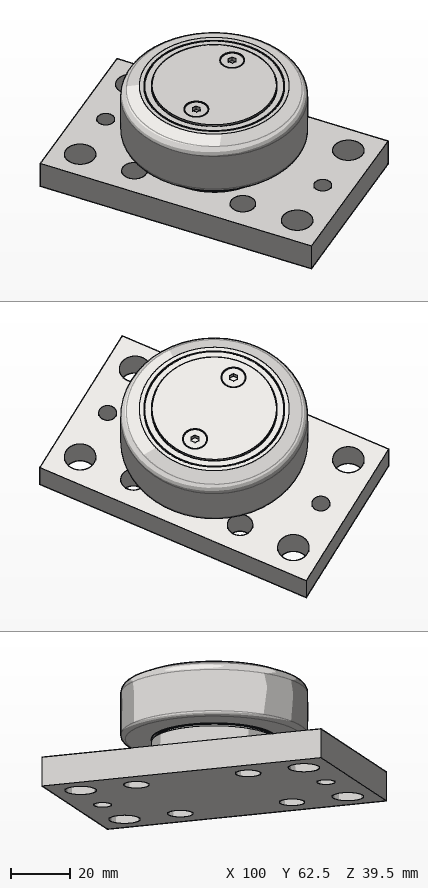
import cadquery as cq
import math

SIDES = (-1, 1)

plate_length = 100.0
plate_width = 60.0
plate_thickness = 10.0
corner_hole_diameter = 10.5
dowel_hole_diameter = 6.0
inner_hole_diameter = 8.5
outer_hole_x = 40.0
inner_hole_x = 20.0
hole_y = 20.0

neck_diameter = 42.0
neck_foot_diameter = 41.5
neck_foot_height = 0.25
neck_chamfer = 0.75
collar_diameter = 42.1
collar_bottom_z = 18.5

roller_diameter = 62.5
roller_bottom_z = 18.75
roller_top_z = 39.0
crown_drop = 0.05
top_flat_diameter = 50.0
top_cone_angle = math.radians(22.0)
top_round_radius = 3.0
bottom_round_radius = 1.5

total_height = 39.5
disc_diameter = 41.5
disc_bore_diameter = 42.0
ring_diameter = 46.4
ring_bore_diameter = 47.0
groove_depth = 0.5

screw_y = 14.0
screw_head_diameter = 7.8
screw_recess_diameter = 8.3
hex_across_corners = 3.0
hex_depth = 1.5


def through_holes(diameter, points):
    """Cylinders as long as the plate is thick, one at each point."""
    return cq.Workplane("XY").pushPoints(points).circle(diameter / 2).extrude(plate_thickness)


def ring_gap(outer_diameter, inner_diameter):
    """Thin annular gap sunk into the top face of the roller."""
    return (
        cq.Workplane("XY", origin=(0, 0, roller_top_z - groove_depth))
        .circle(outer_diameter / 2)
        .circle(inner_diameter / 2)
        .extrude(groove_depth)
    )


def make_plate():
    """Base plate with corner, inner and dowel holes."""
    plate = cq.Workplane("XY").box(plate_length, plate_width, plate_thickness, centered=(True, True, False))
    corner_points = [(i * outer_hole_x, j * hole_y) for i in SIDES for j in SIDES]
    inner_points = [(i * inner_hole_x, j * hole_y) for i in SIDES for j in SIDES]
    dowel_points = [(i * outer_hole_x, 0) for i in SIDES]
    plate = plate.cut(through_holes(corner_hole_diameter, corner_points))
    plate = plate.cut(through_holes(inner_hole_diameter, inner_points))
    return plate.cut(through_holes(dowel_hole_diameter, dowel_points))


def make_neck():
    """Neck with a stepped foot and a chamfered shoulder, under a thin collar of the roller."""
    foot_top_z = plate_thickness + neck_foot_height
    neck_top_radius = neck_diameter / 2 - neck_chamfer
    profile = [
        (0, plate_thickness),
        (neck_foot_diameter / 2, plate_thickness),
        (neck_foot_diameter / 2, foot_top_z),
        (neck_diameter / 2, foot_top_z),
        (neck_diameter / 2, collar_bottom_z - neck_chamfer),
        (neck_top_radius, collar_bottom_z),
        (collar_diameter / 2, collar_bottom_z),
        (collar_diameter / 2, roller_bottom_z),
        (0, roller_bottom_z),
    ]
    return cq.Workplane("XZ").polyline(profile).close().revolve(360, (0, 0, 0), (0, 1, 0))


def make_roller():
    """Crowned roller with a rounded bottom edge and a rounded, conical top edge."""
    crown_radius = roller_diameter / 2
    rim_radius = crown_radius - crown_drop

    round_center_r = rim_radius - top_round_radius
    cone_outer_r = round_center_r + top_round_radius * math.sin(top_cone_angle)
    cone_drop = (cone_outer_r - top_flat_diameter / 2) * math.tan(top_cone_angle)
    cone_outer_z = roller_top_z - cone_drop
    rim_top_z = cone_outer_z - top_round_radius * math.cos(top_cone_angle)
    rim_bottom_z = roller_bottom_z + bottom_round_radius
    round_mid_angle = (math.pi / 2 - top_cone_angle) / 2
    round_middle = (
        round_center_r + top_round_radius * math.cos(round_mid_angle),
        rim_top_z + top_round_radius * math.sin(round_mid_angle),
    )

    profile = (
        cq.Workplane("XZ")
        .moveTo(0, roller_bottom_z)
        .lineTo(rim_radius - bottom_round_radius, roller_bottom_z)
        .radiusArc((rim_radius, rim_bottom_z), -bottom_round_radius)
        .threePointArc((crown_radius, (rim_bottom_z + rim_top_z) / 2), (rim_radius, rim_top_z))
        .threePointArc(round_middle, (cone_outer_r, cone_outer_z))
        .lineTo(top_flat_diameter / 2, roller_top_z)
        .lineTo(0, roller_top_z)
        .close()
    )
    return profile.revolve(360, (0, 0, 0), (0, 1, 0))


def add_cover(body):
    """Raised cover disc with narrow gaps around the disc and around its seal ring."""
    disc = cq.Workplane("XY", origin=(0, 0, roller_top_z)).circle(disc_diameter / 2)
    body = body.union(disc.extrude(total_height - roller_top_z))
    body = body.cut(ring_gap(disc_bore_diameter, disc_diameter))
    return body.cut(ring_gap(ring_bore_diameter, ring_diameter))


def cut_screw(body, y):
    """Narrow 45-degree countersink around a flush screw head, and the hexagonal socket in the head."""
    head_radius = screw_head_diameter / 2
    recess_radius = screw_recess_diameter / 2
    gap_bottom_z = total_height - (recess_radius - head_radius)
    gap_profile = [(head_radius, gap_bottom_z), (recess_radius, total_height), (head_radius, total_height)]
    gap = cq.Workplane("XZ").polyline(gap_profile).close().revolve(360, (0, 0, 0), (0, 1, 0))
    socket = (
        cq.Workplane("XY", origin=(0, 0, total_height - hex_depth))
        .polygon(6, hex_across_corners)
        .extrude(hex_depth)
    )
    return body.cut(gap.union(socket).translate((0, y, 0)))


result = make_plate().union(make_neck()).union(make_roller())
result = add_cover(result)
for side in SIDES:
    result = cut_screw(result, side * screw_y)